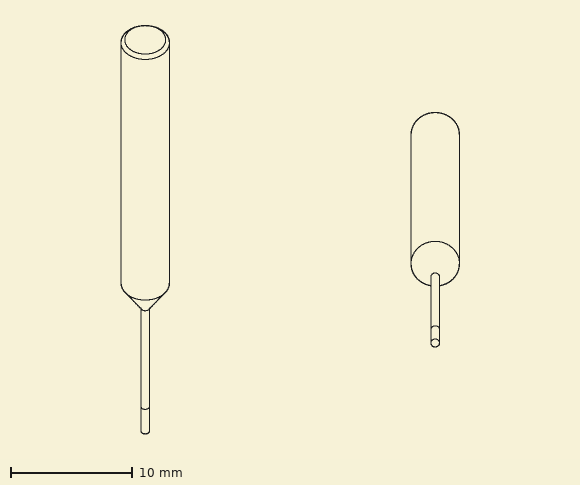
import cadquery as cq

total_length = 45.0
shank_diameter = 4.0
end_chamfer = 0.3
neck_diameter = 0.7
tip_length = 2.85
neck_length = 11.35
taper_length = 2.85

shank_radius = shank_diameter / 2
neck_radius = neck_diameter / 2
neck_base = tip_length
taper_base = neck_base + neck_length
shank_base = taper_base + taper_length


def make_tip():
    """Cutting tip: a plain cylinder, as thick as the neck it continues."""
    return cq.Workplane("XY").circle(neck_radius).extrude(tip_length)


def make_shank():
    """Slim neck, conical taper and chamfered shank, turned as one profile."""
    profile = (
        cq.Workplane("XZ")
        .moveTo(0, neck_base)
        .lineTo(neck_radius, neck_base)
        .lineTo(neck_radius, taper_base)
        .lineTo(shank_radius, shank_base)
        .lineTo(shank_radius, total_length - end_chamfer)
        .lineTo(shank_radius - end_chamfer, total_length)
        .lineTo(0, total_length)
        .close()
    )
    return profile.revolve(360, (0, 0, 0), (0, 1, 0))


tip = make_tip()
shank = make_shank()

result = cq.Compound.makeCompound([tip.val(), shank.val()])